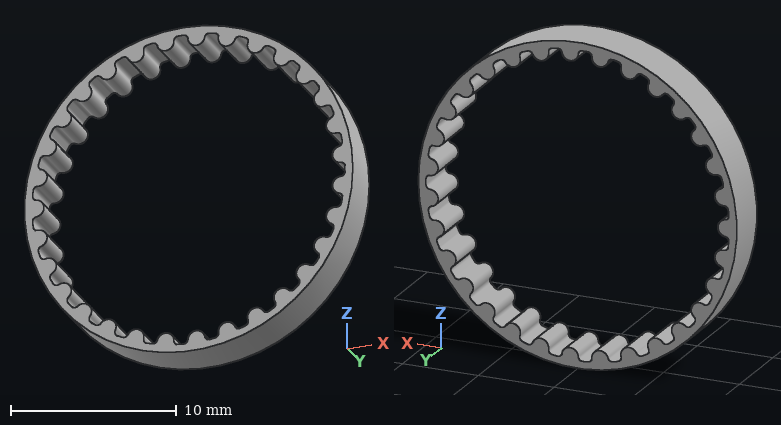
import cadquery as cq
import math

OUTER_RADIUS = 10.5
BELT_WIDTH = 3.0
TOOTH_COUNT = 31
FLOOR_RADIUS = 10.0
TIP_RADIUS = 9.25
TOOTH_ROUND = 0.55
ROOT_FILLET = 0.27

PITCH_ANGLE = 2 * math.pi / TOOTH_COUNT

TOOTH_CENTRE_RADIUS = TIP_RADIUS + TOOTH_ROUND
FILLET_CENTRE_RADIUS = FLOOR_RADIUS - ROOT_FILLET
CENTRE_SPACING = TOOTH_ROUND + ROOT_FILLET


def corner_angle(side_a, side_b, opposite):
    """Angle between two triangle sides, by the law of cosines."""
    return math.acos((side_a**2 + side_b**2 - opposite**2) / (2 * side_a * side_b))


FILLET_ANGLE = corner_angle(TOOTH_CENTRE_RADIUS, FILLET_CENTRE_RADIUS, CENTRE_SPACING)


def polar(radius, angle):
    return (radius * math.cos(angle), radius * math.sin(angle))


def toward(start, end, distance):
    """Point at a distance from start on the line through end."""
    fraction = distance / math.dist(start, end)
    return tuple(a + (b - a) * fraction for a, b in zip(start, end))


def root_fillet_points(tooth_angle, side):
    """Start on the tooth, middle and end on the floor of one root fillet."""
    tooth_centre = polar(TOOTH_CENTRE_RADIUS, tooth_angle)
    fillet_angle = tooth_angle + side * FILLET_ANGLE
    fillet_centre = polar(FILLET_CENTRE_RADIUS, fillet_angle)
    on_tooth = toward(fillet_centre, tooth_centre, ROOT_FILLET)
    on_floor = polar(FLOOR_RADIUS, fillet_angle)
    chord_middle = tuple((a + b) / 2 for a, b in zip(on_tooth, on_floor))
    return on_tooth, toward(fillet_centre, chord_middle, ROOT_FILLET), on_floor


def toothed_opening():
    """Closed inner outline: rounded tooth, fillet, groove floor, fillet, repeated."""
    first_tooth = PITCH_ANGLE / 2
    start = root_fillet_points(first_tooth, -1)[0]
    outline = cq.Workplane("XZ", origin=(0, BELT_WIDTH / 2, 0)).moveTo(*start)
    for index in range(TOOTH_COUNT):
        tooth_angle = first_tooth + index * PITCH_ANGLE
        next_tooth = tooth_angle + PITCH_ANGLE
        leave_tooth, leave_middle, leave_floor = root_fillet_points(tooth_angle, 1)
        enter_tooth, enter_middle, enter_floor = root_fillet_points(next_tooth, -1)
        outline = (
            outline.threePointArc(polar(TIP_RADIUS, tooth_angle), leave_tooth)
            .threePointArc(leave_middle, leave_floor)
            .threePointArc(polar(FLOOR_RADIUS, tooth_angle + PITCH_ANGLE / 2), enter_floor)
            .threePointArc(enter_middle, enter_tooth)
        )
    return outline.close().extrude(BELT_WIDTH)


ring = cq.Workplane("XZ", origin=(0, BELT_WIDTH / 2, 0)).circle(OUTER_RADIUS).extrude(BELT_WIDTH)

result = ring.cut(toothed_opening())